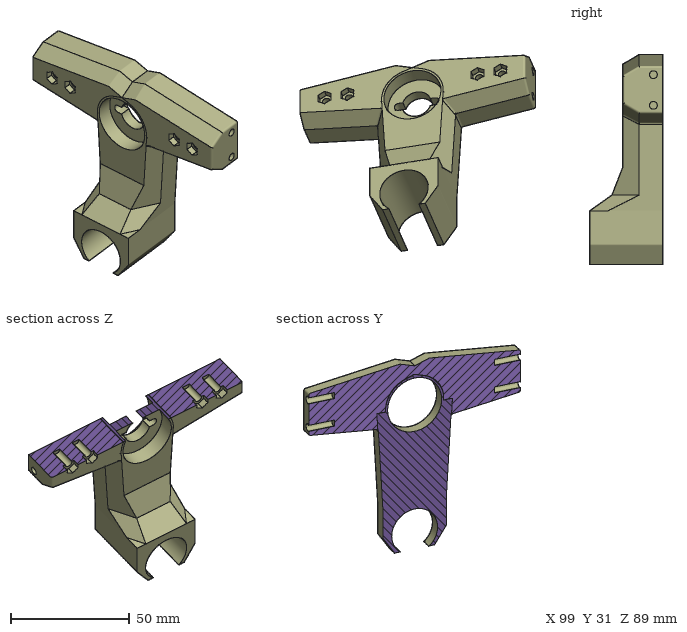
import cadquery as cq
import math


span = 99.0
straight_depth = 10.0
body_depth = 17.0
clamp_depth = 31.0
edge_fillet = 1.0
flank_angle = 30.0

pocket_diameter = 25.0
pocket_rim = 1.0
pocket_floor_depth = 10.0
rear_recess_depth = 5.0
bore_diameter = 12.5
key_length = 19.5
key_width = 3.6

wing_axis_z = 5.65
tip_height = 20.0
wing_slope = 6.8
valley_slope = 18.2

screw_diameter = 3.3
nut_across_flats = 5.6
nut_pocket_depth = 3.0
nut_screw_depth = 12.0
nut_positions = (28.5, 38.5)
tip_screw_spacing = 13.0
tip_screw_inset = 4.0
tip_screw_depth = 12.0

clamp_width = 30.0
clamp_top_z = -45.5
clamp_axis_z = -60.0
clamp_bottom_z = -68.33
clamp_bore_diameter = 21.2
clamp_lip_half_width = 9.35
column_bend_z = -27.0
foot_top_z = -38.85
foot_top_depth = 21.6
foot_side_depth = 23.2

half_span = span / 2
half_clamp = clamp_width / 2
beyond = 2 * span
slant = math.tan(math.radians(flank_angle))
hub_radius = pocket_diameter / 2 + pocket_rim
hub_back_radius = hub_radius + (body_depth - straight_depth) * slant

wing_rise = math.tan(math.radians(wing_slope))
valley_rise = math.tan(math.radians(valley_slope))
valley_z = hub_back_radius / math.cos(math.radians(valley_slope))
hub_peak_z = hub_radius / math.cos(math.radians(valley_slope))
tip_top_z = wing_axis_z + tip_height / 2
tip_bottom_z = wing_axis_z - tip_height / 2
apex_x = (tip_top_z + half_span * wing_rise - valley_z) / (wing_rise + valley_rise)

corner_angle = math.atan2(-clamp_top_z, half_clamp)
column_lean = corner_angle - math.acos(hub_back_radius / math.hypot(half_clamp, clamp_top_z))
column_top_z = -hub_radius * math.sin(column_lean)


def wing_top(x):
    return tip_top_z + (half_span - x) * wing_rise


def wing_bottom(x):
    return tip_bottom_z - (half_span - x) * wing_rise


def column_half_width(z):
    return half_clamp + (z - clamp_top_z) * math.tan(column_lean)


armpit_x = column_half_width(wing_bottom(0)) / (1 - wing_rise * math.tan(column_lean))


def at_depth(depth, x=0, z=0):
    """Workplane parallel to the back face, facing the front."""
    return cq.Workplane("XZ", origin=(x, -depth, z))


def prism(points, near, far):
    return at_depth(near).polyline(points).close().extrude(far - near)


def block(x0, x1, z0, z1):
    return prism([(x0, z0), (x1, z0), (x1, z1), (x0, z1)], 0, clamp_depth)


def flanked(points, depth):
    """Convex outline with square sides at the back and sloped flanks in front."""
    back = prism(points, 0, straight_depth)
    front = (
        at_depth(straight_depth).polyline(points).close()
        .extrude(depth - straight_depth, taper=flank_angle)
    )
    return back.union(front)


def edges_at(body, point):
    """The edges of a body that pass through a point."""
    probe = cq.Vertex.makeVertex(*point)
    return [edge for edge in body.edges().vals() if edge.distance(probe) < 0.001]


def leaning_forward(edges):
    """Those edges that run from the back towards the front."""
    return [edge for edge in edges if abs(edge.tangentAt(0).y) > 0.5]


def fillet_at(body, points):
    """Round the edges that pass from back to front through the given points."""
    edges = [edge for point in points for edge in leaning_forward(edges_at(body, point))]
    return body.newObject([body.val().fillet(edge_fillet, edges)])


def both_sides(body):
    return body.union(body.mirror("YZ"))


def wing():
    """Right wing; its outline runs past both ends, which are then cut square."""
    inner_x = -hub_radius
    outer_x = half_span + hub_radius
    outline = [
        (inner_x, valley_z + inner_x * valley_rise),
        (apex_x, wing_top(apex_x)),
        (outer_x, wing_top(outer_x)),
        (outer_x, wing_bottom(outer_x)),
        (inner_x, wing_bottom(inner_x)),
    ]
    body = flanked(outline, body_depth)
    body = body.intersect(block(0, half_span, -span, span))
    apex = (apex_x, -straight_depth, wing_top(apex_x))
    body = fillet_at(body, [apex])
    return body.faces(">X").edges("not >Y").fillet(edge_fillet)


def foot_flank_space(side):
    """Space outside the plane that carries the foot's sloped flank."""
    top_corner = cq.Vector(side * column_half_width(foot_top_z), -straight_depth, foot_top_z)
    bottom_corner = cq.Vector(side * half_clamp, -foot_side_depth, clamp_top_z)
    across = cq.Vector(-side * slant, -1, 0)
    normal = across.cross(bottom_corner - top_corner) * side
    plane = cq.Plane(origin=top_corner, xDir=across, normal=normal)
    return cq.Workplane(plane).rect(beyond, beyond).extrude(beyond)


def column():
    low_z = clamp_top_z - clamp_depth
    high_z = column_top_z + clamp_depth
    outline = [
        (-column_half_width(low_z), low_z),
        (column_half_width(low_z), low_z),
        (column_half_width(high_z), high_z),
        (-column_half_width(high_z), high_z),
    ]
    shaft = flanked(outline, foot_top_depth)
    shaft = shaft.intersect(block(-span, span, foot_top_z, column_top_z))
    foot = prism(outline, 0, clamp_depth)
    foot = foot.intersect(block(-span, span, clamp_top_z, foot_top_z))
    for side in (1, -1):
        foot = foot.cut(foot_flank_space(side))
    profile = [
        (0, clamp_top_z),
        (-clamp_depth, clamp_top_z),
        (-foot_top_depth, foot_top_z),
        (-body_depth, column_bend_z),
        (-body_depth, column_top_z),
        (0, column_top_z),
    ]
    side_shape = cq.Workplane("YZ").polyline(profile).close().extrude(span, both=True)
    return shaft.union(foot).intersect(side_shape)


def clamp():
    outline = [
        (-half_clamp, clamp_top_z),
        (half_clamp, clamp_top_z),
        (half_clamp, clamp_axis_z),
        (clamp_lip_half_width, clamp_bottom_z),
        (-clamp_lip_half_width, clamp_bottom_z),
        (-half_clamp, clamp_axis_z),
    ]
    body = prism(outline, 0, clamp_depth)
    corners = [(side * half_clamp, -clamp_depth / 2, clamp_axis_z) for side in (1, -1)]
    body = fillet_at(body, corners)
    bore = at_depth(0, z=clamp_axis_z).circle(clamp_bore_diameter / 2).extrude(clamp_depth)
    return body.cut(bore)


def hub_head():
    """Round top of the stem, drawn out to the peak under the valley."""
    valley_turn = math.radians(valley_slope)
    touch_x = hub_radius * math.sin(valley_turn)
    touch_z = hub_radius * math.cos(valley_turn)
    side_x = hub_radius * math.cos(column_lean)
    middle_turn = (valley_turn + math.pi / 2 + column_lean) / 2
    middle_x = hub_radius * math.sin(middle_turn)
    middle_z = hub_radius * math.cos(middle_turn)
    return (
        at_depth(0)
        .moveTo(0, hub_peak_z)
        .lineTo(touch_x, touch_z)
        .threePointArc((middle_x, middle_z), (side_x, column_top_z))
        .lineTo(-side_x, column_top_z)
        .threePointArc((-middle_x, middle_z), (-touch_x, touch_z))
        .close()
        .extrude(body_depth)
    )


def hub_opening():
    """Front pocket, keyed bore and rear recess along the hub axis."""
    pocket = at_depth(pocket_floor_depth).circle(pocket_diameter / 2).extrude(body_depth)
    bore = at_depth(0).circle(bore_diameter / 2).extrude(body_depth)
    key = at_depth(0).slot2D(key_length, key_width).extrude(body_depth)
    rear_recess = at_depth(0).circle(pocket_diameter / 2).extrude(rear_recess_depth)
    return pocket.union(bore).union(key).union(rear_recess)


def nut_pocket(x):
    nut = (
        at_depth(body_depth - nut_pocket_depth, x, wing_axis_z)
        .polygon(6, nut_across_flats, circumscribed=True)
        .extrude(nut_pocket_depth)
    )
    screw = (
        at_depth(body_depth - nut_screw_depth, x, wing_axis_z)
        .circle(screw_diameter / 2).extrude(nut_screw_depth)
    )
    return nut.union(screw)


def tip_screw(z):
    return (
        cq.Workplane("YZ", origin=(half_span - tip_screw_depth, -tip_screw_inset, z))
        .circle(screw_diameter / 2).extrude(tip_screw_depth)
    )


def solid_stem():
    return column().union(hub_head()).union(clamp()).clean()


def wings():
    """Both wings, rounded into the column's sides and cut to the stem's shape."""
    outline = both_sides(wing()).union(solid_stem())
    armpits = [(side * armpit_x, -straight_depth, wing_bottom(armpit_x)) for side in (1, -1)]
    body = fillet_at(outline, armpits).cut(solid_stem())
    for side in (1, -1):
        for x in nut_positions:
            body = body.cut(nut_pocket(side * x))
    for end in (-1, 1):
        screw = tip_screw(wing_axis_z + end * tip_screw_spacing / 2)
        body = body.cut(screw).cut(screw.mirror("YZ"))
    return body


def stem():
    return solid_stem().cut(hub_opening())


result = cq.Compound.makeCompound([*wings().vals(), *stem().vals()])